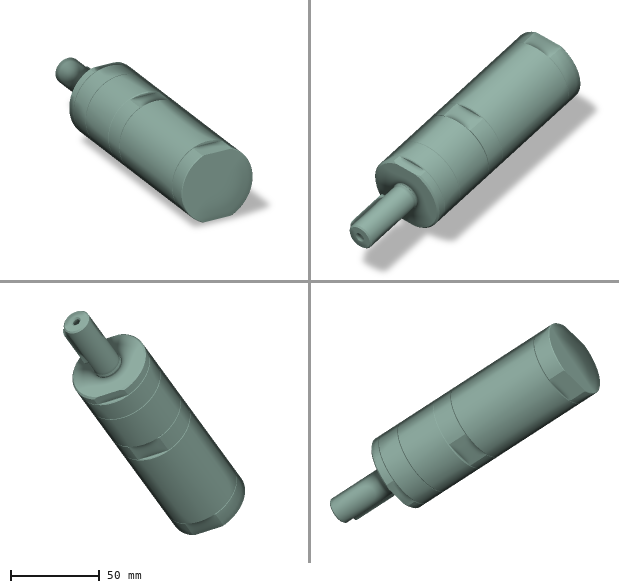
import cadquery as cq
import math

total_length = 171.5
body_diameter = 46.0
across_flats = 41.8

collar_start = 40.8
body_start = 42.0
front_cap_end = 47.8
gear_joint = 61.5
mid_flat_start = 88.2
mid_flat_end = 100.0
rear_cap_start = 160.2

shaft_diameter = 16.0
collar_diameter = 17.0
lead_diameter = 16.8
tip_chamfer = 0.9
lead_length = 1.0
centre_hole_diameter = 4.1
centre_hole_depth = 10.3
countersink_diameter = 5.8
countersink_angle = 90

front_chamfer = 1.0
joint_chamfer = 0.5
rear_chamfer = 0.3

key_start = 4.0
key_length = 30.0
key_width = 5.0
key_top = 10.0
key_root = 5.1


def turned(start, end, diameter, start_chamfer=0.0, end_chamfer=0.0):
    """Cylinder along X between two stations, with optional end chamfers."""
    section = cq.Workplane("YZ", origin=(start, 0, 0)).circle(diameter / 2).extrude(end - start)
    if start_chamfer:
        section = section.faces("<X").chamfer(start_chamfer)
    if end_chamfer:
        section = section.faces(">X").chamfer(end_chamfer)
    return section


def with_flats(section):
    """Trim a body section to a pair of wrench flats facing +Z and -Z."""
    slab = cq.Workplane("XY").box(2 * total_length, 2 * body_diameter, across_flats)
    return section.intersect(slab)


def shaft():
    """Output shaft with a tapered lead and a collar against the body."""
    journal = turned(0, body_start, shaft_diameter, start_chamfer=tip_chamfer)
    lead = (
        cq.Workplane("YZ", origin=(collar_start - lead_length, 0, 0))
        .circle(shaft_diameter / 2)
        .workplane(offset=lead_length)
        .circle(lead_diameter / 2)
        .loft(ruled=True)
    )
    collar = turned(collar_start, body_start, collar_diameter)
    return journal.union(lead).union(collar).cut(centre_hole())


def centre_hole():
    """Cutter for the flat-bottomed, countersunk hole in the shaft tip."""
    hole_radius = centre_hole_diameter / 2
    countersink_radius = countersink_diameter / 2
    countersink_depth = (countersink_radius - hole_radius) / math.tan(math.radians(countersink_angle / 2))
    return (
        cq.Workplane("XY")
        .lineTo(0, countersink_radius)
        .lineTo(countersink_depth, hole_radius)
        .lineTo(centre_hole_depth, hole_radius)
        .lineTo(centre_hole_depth, 0)
        .close()
        .revolve(360, (0, 0, 0), (1, 0, 0))
    )


def key():
    """Round-ended parallel key, sunk into the shaft."""
    return (
        cq.Workplane("XZ", origin=(key_start + key_length / 2, key_top, 0))
        .slot2D(key_length, key_width)
        .extrude(key_top - key_root)
    )


def body():
    """Turned housing: plain sections alternating with sections that carry flats."""
    front_cap = with_flats(
        turned(body_start, front_cap_end, body_diameter, start_chamfer=front_chamfer)
    )
    gear_front = turned(front_cap_end, gear_joint, body_diameter, start_chamfer=joint_chamfer)
    gear_rear = turned(gear_joint, mid_flat_start, body_diameter, joint_chamfer, joint_chamfer)
    mid_ring = with_flats(turned(mid_flat_start, mid_flat_end, body_diameter))
    motor = turned(mid_flat_end, rear_cap_start, body_diameter, start_chamfer=joint_chamfer)
    rear_cap = with_flats(
        turned(rear_cap_start, total_length, body_diameter, joint_chamfer, rear_chamfer)
    )
    housing = front_cap
    for section in (gear_front, gear_rear, mid_ring, motor, rear_cap):
        housing = housing.union(section)
    return housing


result = body().union(shaft()).union(key())